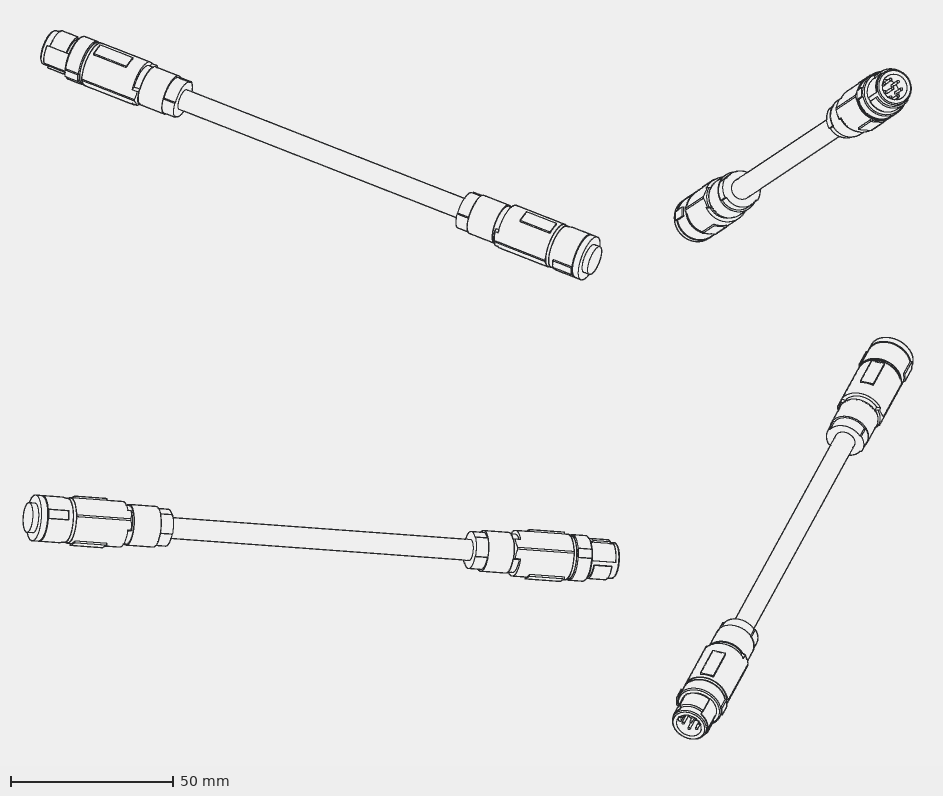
import cadquery as cq
import math

overall_length = 191.8
cable_radius = 3.3

collar_radius = 7.1
body_radius = 7.1
neck_radius = 6.0
sleeve_radius = 6.3
boot_radius = 5.8
seam_radius = 7.0
edge_break = 0.4

ridge_half_width = 3.0
ridge_peak = 7.5
ridge_crest_width = 0.5
ridge_limit_radius = 7.9
ridge_slope = 1.2
collar_pad_width = 2.9
collar_pad_reach = 7.5
boot_pad_radius = 6.1

label_width = 4.2
label_span = 14.8

male_collar_start = 9.4
male_collar_end = 14.5
male_body_start = 15.5
male_body_end = 32.8
male_ridge_end = 35.0
male_sleeve_start = male_ridge_end
male_sleeve_end = 43.2
male_boot_end = 47.2
male_label_start = 16.9
male_label_end = 28.4

nose_radius = 5.5
nose_chamfer = 0.4
nose_bore_radius = 4.0
nose_bore_depth = 7.7
wing_radius = 5.8
wing_start = 1.3
wing_low_angle = -18.0
top_lug_radius = 6.3
bottom_lug_radius = 6.1
lug_start = 2.5
lug_end = 8.2
top_lug_half_angle = 38.0
bottom_lug_half_angle = 59.0

ring_pin_count = 7
pin_circle_radius = 2.9
pin_radius = 0.4
pin_tip = 2.0
key_width = 1.5
key_inner = 3.3

female_boot_start = 146.3
female_sleeve_start = 150.4
female_sleeve_end = 159.2
female_ridge_start = 160.0
female_body_start = 161.3
female_body_end = 178.4
female_collar_start = 179.3
female_taper_end = 181.0
female_rim_start = 187.5
female_collar_end = 189.9
female_label_start = 166.7
female_label_end = 177.2
female_taper_depth = 0.4
rim_groove_depth = 0.2
rim_groove_width = 0.2
socket_radius = 4.6


def cylinder(start, end, radius):
    """Solid round section along X."""
    return cq.Workplane("YZ", origin=(start, 0, 0)).circle(radius).extrude(end - start)


def sector(start, end, radius, middle_angle, half_angle):
    """Pie slice along X; angles are in degrees from +Y towards +Z."""
    def rim_point(angle):
        return (radius * math.cos(math.radians(angle)), radius * math.sin(math.radians(angle)))

    return (
        cq.Workplane("YZ", origin=(start, 0, 0))
        .lineTo(*rim_point(middle_angle - half_angle))
        .threePointArc(rim_point(middle_angle), rim_point(middle_angle + half_angle))
        .close()
        .extrude(end - start)
    )


def block(start, end, width, height):
    """Box along X, centred on the axis in Y and Z."""
    shape = cq.Workplane("XY").box(end - start, width, height, centered=(False, True, True))
    return shape.translate((start, 0, 0))


def grip_ridges():
    """Full-length ridge profile: two facets and a narrow crest on each side."""
    root = math.sqrt(body_radius**2 - ridge_half_width**2)
    crest = ridge_crest_width / 2
    right_side = [
        (root, -ridge_half_width), (ridge_peak, -crest),
        (ridge_peak, crest), (root, ridge_half_width),
    ]
    left_side = [(-y, -z) for y, z in right_side]
    return cq.Workplane("YZ").polyline(right_side + left_side).close().extrude(overall_length)


def grip(body_start, body_end, ridge_start, ridge_end, sloped_face, label_start, label_end):
    """Round grip body with side ridges and label plates."""
    body = cylinder(body_start, body_end, body_radius)
    body = body.cut(block(body_start, body_end, 2 * body_radius, 2 * ridge_half_width))
    ridge_limit = cylinder(ridge_start, ridge_end, ridge_limit_radius)
    ridge_limit = ridge_limit.faces(sloped_face).chamfer(ridge_slope)
    body = body.union(grip_ridges().intersect(ridge_limit))
    return body.union(block(label_start, label_end, label_width, label_span))


def boot(start, end):
    """Cable boot with slightly raised pads on both sides."""
    pads = cylinder(start, end, boot_pad_radius).intersect(
        block(start, end, 2 * boot_pad_radius, 2 * ridge_half_width)
    )
    return cylinder(start, end, boot_radius).union(pads)


def pad_collar(collar, start, end):
    """Add a narrow flat pad to the +Y and -Y sides of a collar."""
    return collar.union(block(start, end, 2 * collar_pad_reach, collar_pad_width))


def male_nose():
    """Hollow nose with side wings, locking lugs, pins and a coding key."""
    nose = cylinder(0, male_collar_start, nose_radius).faces("<X").chamfer(nose_chamfer)

    wing_high_angle = 90 - top_lug_half_angle
    wing_middle = (wing_high_angle + wing_low_angle) / 2
    wing_half_angle = (wing_high_angle - wing_low_angle) / 2
    for middle in (wing_middle, 180 - wing_middle):
        nose = nose.union(sector(wing_start, male_collar_start, wing_radius, middle, wing_half_angle))
    nose = nose.union(sector(lug_start, lug_end, top_lug_radius, 90, top_lug_half_angle))
    nose = nose.union(sector(lug_start, lug_end, bottom_lug_radius, -90, bottom_lug_half_angle))

    nose = nose.cut(cylinder(0, nose_bore_depth, nose_bore_radius))

    pin = cylinder(pin_tip, nose_bore_depth, pin_radius)
    nose = nose.union(pin)
    for index in range(ring_pin_count):
        angle = index * 360 / ring_pin_count
        nose = nose.union(pin.translate((0, -pin_circle_radius, 0)).rotate((0, 0, 0), (1, 0, 0), angle))

    key_outer = (nose_bore_radius + nose_radius) / 2
    key = cq.Workplane("XY").box(
        nose_bore_depth - pin_tip, key_outer - key_inner, key_width, centered=(False, False, True)
    )
    return nose.union(key.translate((pin_tip, key_inner, 0)))


def male_connector():
    collar = cylinder(male_collar_start, male_collar_end, collar_radius).edges().chamfer(edge_break)
    collar = pad_collar(collar, male_collar_start + edge_break, male_collar_end - edge_break)
    connector = male_nose().union(collar)
    connector = connector.union(cylinder(male_collar_end, male_body_start, seam_radius))
    connector = connector.union(
        grip(
            male_body_start, male_body_end, male_body_start, male_ridge_end, ">X",
            male_label_start, male_label_end,
        )
    )
    connector = connector.union(cylinder(male_body_end, male_sleeve_start, neck_radius))
    connector = connector.union(cylinder(male_sleeve_start, male_sleeve_end, sleeve_radius))
    return connector.union(boot(male_sleeve_end, male_boot_end))


def female_collar():
    """Collar with a tapered start, side pads and a fine groove marking off the rim."""
    taper_length = female_taper_end - female_collar_start
    collar = cylinder(female_collar_start, female_collar_end, collar_radius)
    collar = collar.faces("<X").chamfer(taper_length, female_taper_depth)
    collar = pad_collar(collar, female_taper_end, female_rim_start)
    groove_end = female_rim_start + rim_groove_width
    groove_floor = cylinder(female_rim_start, groove_end, collar_radius - rim_groove_depth)
    return collar.cut(cylinder(female_rim_start, groove_end, collar_radius).cut(groove_floor))


def female_connector():
    connector = boot(female_boot_start, female_sleeve_start)
    connector = connector.union(cylinder(female_sleeve_start, female_sleeve_end, sleeve_radius))
    connector = connector.union(cylinder(female_sleeve_end, female_body_start, neck_radius))
    connector = connector.union(
        grip(
            female_body_start, female_body_end, female_ridge_start, female_body_end, "<X",
            female_label_start, female_label_end,
        )
    )
    connector = connector.union(cylinder(female_body_end, female_collar_start, seam_radius))
    connector = connector.union(female_collar())
    return connector.union(cylinder(female_collar_end, overall_length, socket_radius))


cable = cylinder(male_boot_end, female_boot_start, cable_radius)
result = male_connector().union(cable).union(female_connector())